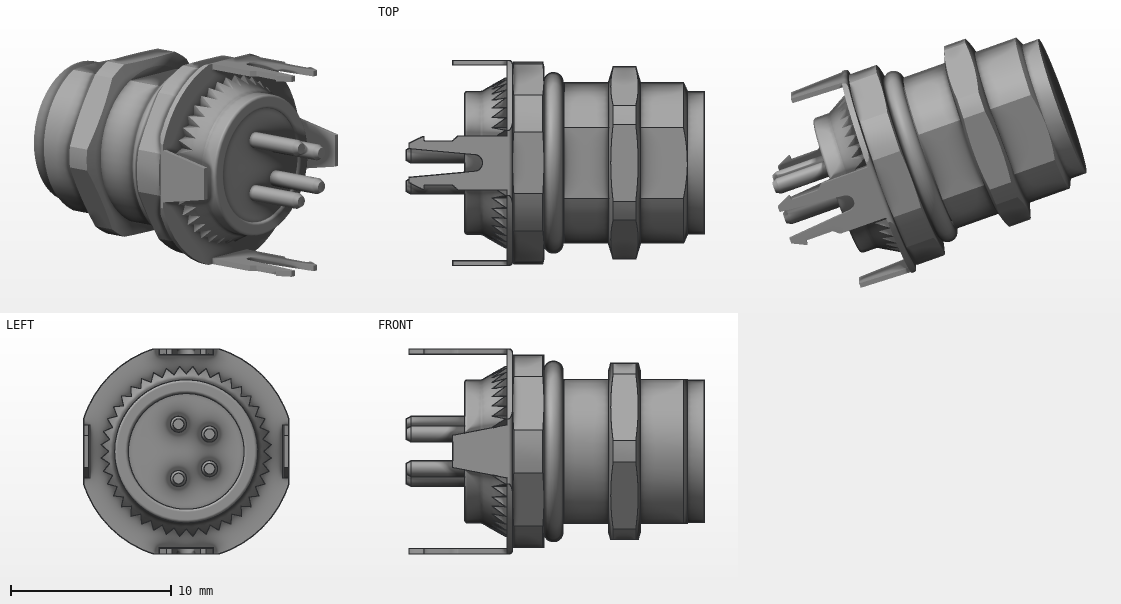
import cadquery as cq
import math


HEX_SIDES = 6

TOTAL_LENGTH = 18.6
HOUSING_START = 3.65
CONE_START = 4.72
PLATE_START = 6.29
FLANGE_START = 6.64
FLANGE_END = 8.6
BARREL_START = 9.85
BARREL_END = 17.3
SPIGOT_START = 17.55

RIM_RADIUS = 4.46
RIM_FILLET = 0.19
CONE_ANGLE = 30.0
CONE_ROOT_FILLET = 0.26
RECESS_RADIUS = 3.6
RECESS_DEPTH = 0.19
TOOTH_COUNT = 40
TOOTH_TIP_RADIUS = 5.32
TOOTH_ROOT_RADIUS = 4.84
FLANGE_ACROSS_FLATS = 12.02
FLANGE_RADIUS = 6.3
FLANGE_CORNER_BEVEL = 0.07
BARREL_RADIUS = 5.0
BARREL_ACROSS_FLATS = 8.98
SPIGOT_RADIUS = 4.45

PIN_RADIUS = 0.5
PIN_CHAMFER_LENGTH = 0.32
PIN_CHAMFER_HEIGHT = 0.17
PIN_CENTERS = [(0.48, 1.7), (0.48, -1.7), (-1.45, 1.08), (-1.45, -1.08)]

RING_SECTION_RADIUS = 0.6
RING_OUTER_RADIUS = 5.64
RING_CENTER_RADIUS = RING_OUTER_RADIUS - RING_SECTION_RADIUS
NECK_RADIUS = RING_CENTER_RADIUS - RING_SECTION_RADIUS

NUT_START = 12.61
NUT_WIDTH = 2.0
NUT_ACROSS_FLATS = 11.01
NUT_CORNER_RADIUS = 6.0
NUT_BEVEL = 0.3

PLATE_THICKNESS = FLANGE_START - PLATE_START
PLATE_RADIUS = 6.71
PLATE_ACROSS_FLATS = 12.8
PLATE_BEND_RADIUS = 0.25
RELIEF_INNER_EDGE = 6.0
RELIEF_DEPTH = 0.11

SNAP_TAB_THICKNESS = 0.35
SNAP_TAB_TIP = 0.17
SNAP_TAB_HALF_WIDTH = 1.7
SNAP_TIP_HALF_WIDTH = 1.23
BARB_END = 1.12
ARM_HALF_WIDTH = 1.38
SHOULDER_START = 2.88
SHOULDER_END = 3.24
BARB_FILLET = 0.05
SHOULDER_FILLET = 0.13
SLOT_MOUTH_HALF_WIDTH = 0.9
SLOT_END_RADIUS = 0.52
SLOT_END = 4.76

TAPER_TAB_THICKNESS = 0.3
TAPER_TAB_TIP = 2.9
TAPER_TIP_HALF_WIDTH = 1.0
TAPER_ROOT_HALF_WIDTH = 1.65

SELECT_MARGIN = 0.02


def disc(radius, start, end):
    """Cylinder about the X axis between two stations."""
    return cq.Workplane("YZ", origin=(start, 0, 0)).circle(radius).extrude(end - start)


def revolved(points):
    """Solid of revolution about the X axis from an (x, radius) outline."""
    return cq.Workplane("XY").polyline(points).close().revolve(360, (0, 0, 0), (1, 0, 0))


def hexagon(across_flats, start, end):
    """Hexagonal bar along X with two of its flats facing +Z and -Z."""
    diameter = across_flats / math.cos(math.pi / HEX_SIDES)
    return cq.Workplane("YZ", origin=(start, 0, 0)).polygon(HEX_SIDES, diameter).extrude(end - start)


def beveled_hexagon(across_flats, corner_radius, bevel_radius, bevel_length, start, end):
    """Hexagon with rounded corners, coned at both ends from bevel_radius outwards."""
    envelope = revolved([
        (start, 0),
        (start, bevel_radius),
        (start + bevel_length, corner_radius),
        (end - bevel_length, corner_radius),
        (end, bevel_radius),
        (end, 0),
    ])
    return hexagon(across_flats, start, end).intersect(envelope)


def make_toothed_collar():
    """Ring of V-shaped teeth whose front is trimmed by the cone that leaves the rim."""
    pitch = 2 * math.pi / TOOTH_COUNT
    outline = []
    for tooth in range(TOOTH_COUNT):
        for radius, angle in (
            (TOOTH_ROOT_RADIUS, tooth * pitch),
            (TOOTH_TIP_RADIUS, (tooth + 0.5) * pitch),
        ):
            outline.append((radius * math.cos(angle), radius * math.sin(angle)))
    teeth = (
        cq.Workplane("YZ", origin=(HOUSING_START, 0, 0))
        .polyline(outline)
        .close()
        .extrude(FLANGE_START - HOUSING_START)
    )
    cone_length = FLANGE_START - CONE_START
    cone_end_radius = RIM_RADIUS + cone_length * math.tan(math.radians(CONE_ANGLE))
    envelope = revolved([
        (HOUSING_START, 0),
        (HOUSING_START, RIM_RADIUS),
        (CONE_START, RIM_RADIUS),
        (FLANGE_START, cone_end_radius),
        (FLANGE_START, 0),
    ])
    cone_root = cq.selectors.BoxSelector(
        (CONE_START - SELECT_MARGIN, -PLATE_RADIUS, -PLATE_RADIUS),
        (CONE_START + SELECT_MARGIN, PLATE_RADIUS, PLATE_RADIUS),
        boundingbox=True,
    )
    envelope = envelope.edges(cone_root).fillet(CONE_ROOT_FILLET)
    envelope = envelope.faces("<X").edges().fillet(RIM_FILLET)
    return teeth.intersect(envelope)


def make_barrel():
    """Barrel flattened at +Z and -Z, coned down to the spigot at its far end."""
    barrel = revolved([
        (BARREL_START, 0),
        (BARREL_START, BARREL_RADIUS),
        (BARREL_END, BARREL_RADIUS),
        (SPIGOT_START, SPIGOT_RADIUS),
        (SPIGOT_START, 0),
    ])
    flats = cq.Workplane("XY").box(2 * TOTAL_LENGTH, 2 * BARREL_RADIUS, BARREL_ACROSS_FLATS)
    return barrel.intersect(flats)


def make_pin(y, z):
    """Contact pin with a coned tip, standing on the recess floor."""
    root = HOUSING_START + RECESS_DEPTH
    pin = revolved([
        (0, 0),
        (0, PIN_RADIUS - PIN_CHAMFER_HEIGHT),
        (PIN_CHAMFER_LENGTH, PIN_RADIUS),
        (root, PIN_RADIUS),
        (root, 0),
    ])
    return pin.translate((0, y, z))


def make_housing():
    """Housing with toothed collar, hexagonal flange, O-ring neck, barrel, spigot and pins."""
    recess_floor = HOUSING_START + RECESS_DEPTH
    recess = (
        cq.Workplane("XY")
        .moveTo(HOUSING_START, 0)
        .lineTo(HOUSING_START, RECESS_RADIUS + RECESS_DEPTH)
        .radiusArc((recess_floor, RECESS_RADIUS), -RECESS_DEPTH)
        .lineTo(recess_floor, 0)
        .close()
        .revolve(360, (0, 0, 0), (1, 0, 0))
    )
    flange = beveled_hexagon(
        FLANGE_ACROSS_FLATS,
        FLANGE_RADIUS,
        FLANGE_ACROSS_FLATS / 2,
        FLANGE_CORNER_BEVEL,
        FLANGE_START,
        FLANGE_END,
    )
    body = make_toothed_collar().cut(recess).union(flange)
    body = body.union(disc(NECK_RADIUS, FLANGE_END, BARREL_START))
    body = body.union(make_barrel())
    body = body.union(disc(SPIGOT_RADIUS, SPIGOT_START, TOTAL_LENGTH))
    for y, z in PIN_CENTERS:
        body = body.union(make_pin(y, z))
    return body


def make_snap_tab():
    """Forked, barbed tab on the +Z edge."""
    half_outline = [
        (SNAP_TAB_TIP, SNAP_TIP_HALF_WIDTH),
        (BARB_END, SNAP_TAB_HALF_WIDTH),
        (BARB_END, ARM_HALF_WIDTH),
        (SHOULDER_START, ARM_HALF_WIDTH),
        (SHOULDER_END, SNAP_TAB_HALF_WIDTH),
        (PLATE_START, SNAP_TAB_HALF_WIDTH),
    ]
    mirrored = [(x, -y) for x, y in reversed(half_outline)]
    bottom = PLATE_ACROSS_FLATS / 2 - SNAP_TAB_THICKNESS
    plane = cq.Workplane("XY", origin=(0, 0, bottom))
    tab = plane.polyline(half_outline + mirrored).close().extrude(SNAP_TAB_THICKNESS)
    for corner_x, fillet in (
        (BARB_END, BARB_FILLET),
        (SHOULDER_START, SHOULDER_FILLET),
        (SHOULDER_END, SHOULDER_FILLET),
    ):
        corners = cq.selectors.BoxSelector(
            (corner_x - SELECT_MARGIN, -PLATE_RADIUS, 0),
            (corner_x + SELECT_MARGIN, PLATE_RADIUS, PLATE_RADIUS),
        )
        tab = tab.edges("|Z").edges(corners).fillet(fillet)
    arc_center = SLOT_END - SLOT_END_RADIUS
    slot = (
        plane.moveTo(SNAP_TAB_TIP, SLOT_MOUTH_HALF_WIDTH)
        .lineTo(arc_center, SLOT_END_RADIUS)
        .threePointArc((SLOT_END, 0), (arc_center, -SLOT_END_RADIUS))
        .lineTo(SNAP_TAB_TIP, -SLOT_MOUTH_HALF_WIDTH)
        .close()
        .extrude(SNAP_TAB_THICKNESS)
    )
    return tab.cut(slot)


def make_taper_tab():
    """Plain tapered tab on the +Y edge."""
    outer = PLATE_ACROSS_FLATS / 2
    return (
        cq.Workplane("XZ", origin=(0, outer, 0))
        .polyline([
            (TAPER_TAB_TIP, TAPER_TIP_HALF_WIDTH),
            (PLATE_START, TAPER_ROOT_HALF_WIDTH),
            (PLATE_START, -TAPER_ROOT_HALF_WIDTH),
            (TAPER_TAB_TIP, -TAPER_TIP_HALF_WIDTH),
        ])
        .close()
        .extrude(TAPER_TAB_THICKNESS)
    )


def make_relief(half_width, tab_thickness):
    """Groove in the plate face along the inner side of the root of a +Z tab."""
    height = PLATE_ACROSS_FLATS / 2 - tab_thickness - RELIEF_INNER_EDGE
    return (
        cq.Workplane("XY", origin=(PLATE_START, 0, RELIEF_INNER_EDGE))
        .box(RELIEF_DEPTH, 2 * half_width, height, centered=(False, True, False))
    )


def make_plate(housing):
    """Locking plate with four bent tabs; its toothed hole fits the collar of the housing."""
    blank = (
        cq.Workplane("XY", origin=(PLATE_START, 0, 0))
        .box(PLATE_THICKNESS, PLATE_ACROSS_FLATS, PLATE_ACROSS_FLATS, centered=(False, True, True))
        .faces(">X")
        .edges()
        .fillet(PLATE_BEND_RADIUS)
    )
    plate = blank.intersect(disc(PLATE_RADIUS, PLATE_START, FLANGE_START))
    snap_tab = make_snap_tab()
    snap_relief = make_relief(SNAP_TAB_HALF_WIDTH, SNAP_TAB_THICKNESS)
    taper_tab = make_taper_tab()
    taper_relief = make_relief(TAPER_ROOT_HALF_WIDTH, TAPER_TAB_THICKNESS)
    for side in (0, 180):
        around_axis = ((0, 0, 0), (1, 0, 0))
        plate = plate.union(snap_tab.rotate(*around_axis, side))
        plate = plate.union(taper_tab.rotate(*around_axis, side))
        plate = plate.cut(snap_relief.rotate(*around_axis, side))
        plate = plate.cut(taper_relief.rotate(*around_axis, side + 90))
    return plate.cut(housing)


def make_o_ring():
    """O-ring around the neck, touching the flange face."""
    section_x = FLANGE_END + RING_SECTION_RADIUS
    return (
        cq.Workplane("XY")
        .center(section_x, RING_CENTER_RADIUS)
        .circle(RING_SECTION_RADIUS)
        .revolve(360, (-section_x, -RING_CENTER_RADIUS, 0), (0, -RING_CENTER_RADIUS, 0))
    )


def make_nut():
    """Panel nut whose bore follows the flattened barrel."""
    nut_end = NUT_START + NUT_WIDTH
    nut = beveled_hexagon(
        NUT_ACROSS_FLATS, NUT_CORNER_RADIUS, BARREL_RADIUS, NUT_BEVEL, NUT_START, nut_end
    )
    return nut.cut(make_barrel())


housing = make_housing()
plate = make_plate(housing)
o_ring = make_o_ring()
nut = make_nut()

bodies = (housing, plate, o_ring, nut)
result = cq.Compound.makeCompound([body.solids().val() for body in bodies])